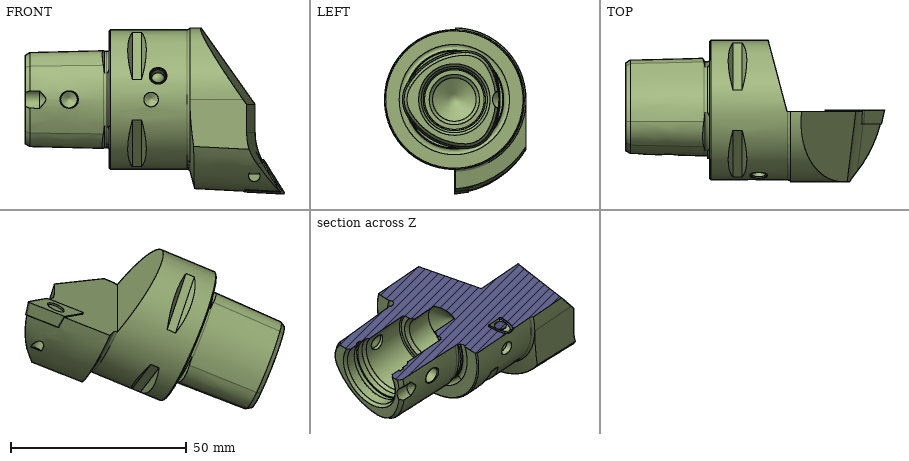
import cadquery as cq
import math


shank_length = 24.0
lobe_centre_offset = 6.5
shank_big_radius = 14.0
shank_taper = 0.025
shank_chamfer_length = 1.3
shank_chamfer_height = 0.8
lobe_end_x = -1.55

neck_radius = 13.85
neck_start_x = -1.3
neck_ramp_rate = 0.66
collar_x = -0.6
relief_start_x = -0.75
relief_radius = 15.8
flange_radius = 20.0
flange_length = 22.2
flange_chamfer = 0.4

groove_start = 6.65
groove_floor_width = 2.6
groove_floor_distance = 17.6
groove_wall_angle = 30.0
groove_count = 4

head_radius = 20.5
head_corner_x = 23.1
head_shoulder_angle = 15.0
head_flat_height = 5.9
head_face_y = -0.4
head_belly_x = 24.3
head_belly_top = (head_face_y, -25.45)
head_belly_mid = (-9.2, -23.25)
head_belly_side = (-head_radius, -13.4)
back_slope_x = 16.7
back_slope_run = 5.4
end_slope_top_x = 26.3
end_face_x = 41.75
end_face_top_z = -1.4
end_face_bottom_z = -9.4
end_curve_bottom_z = -18.3

insert_tip_x = 50.0
insert_tip_z = -27.0
insert_circle = 9.55
insert_angle = 55.0
insert_thickness = 4.0
insert_nose_radius = 0.4
clearance_angle = 7.0
edge_slope = 3.0

screw_radius = 1.6
screw_head_radius = 2.6
screw_head_gap = 0.5
screw_head_height = 1.7
screw_end_y = -9.6
screw_hole_end_y = -14.05

plug_x = 14.0
plug_tilt = 20.0
plug_radius = 2.5
plug_length = 5.9
ball_radius = 2.0
ball_depth = 3.4
sleeve_chamfer = 0.3
sleeve_top_gap = 0.15

drill_point_angle = 118.0
flange_hole_x = 12.0
flange_hole_radius = 2.1
flange_hole_depth = 1.85
shank_hole_x = -11.5
shank_hole_radius = 2.4
shank_hole_rim_y = -12.9
shank_hole_rim_radius = 2.7
shank_hole_bottom_y = 9.6
key_hole_y = -13.6
key_hole_radius = 2.75
key_hole_depth = 4.1
key_hole_point_angle = 90.0

bore_steps = [
    (0, 10.2),
    (0.9, 9.5),
    (3.7, 9.5),
    (3.7, 9.9),
    (5.2, 9.9),
    (5.2, 9.5),
    (6.95, 9.5),
    (8.1, 8.9),
    (21.8, 8.9),
    (22.2, 8.5),
]
inner_bore_radius = 7.2
inner_bore_chamfer = 0.95
inner_bore_length = 8.9

overshoot = 29.6
margin = 0.75


def tan(angle):
    return math.tan(math.radians(angle))


def sin(angle):
    return math.sin(math.radians(angle))


def cos(angle):
    return math.cos(math.radians(angle))


def revolve_about_x(outline):
    return outline.close().revolve(360, (0, 0, 0), (1, 0, 0))


def drill(radius, depth, point_angle=drill_point_angle):
    """Drill along -Z from the origin, with a conical point below its full depth."""
    point_height = radius / tan(point_angle / 2)
    outline = (
        cq.Workplane("XZ")
        .moveTo(0, overshoot)
        .lineTo(radius, overshoot)
        .lineTo(radius, -depth)
        .lineTo(0, -depth - point_height)
        .close()
    )
    return outline.revolve(360, (0, 0, 0), (0, 1, 0))


def lobed_wire(x, radius):
    """Rounded triangle of constant width 2 * radius: three lobe arcs joined by three flank arcs."""
    half_side = lobe_centre_offset * sin(60)
    lobe_radius = radius - half_side
    flank_radius = radius + half_side

    def around_lobe(lobe_angle, arc_radius, angle):
        y = lobe_centre_offset * cos(lobe_angle) + arc_radius * cos(angle)
        z = lobe_centre_offset * sin(lobe_angle) + arc_radius * sin(angle)
        return y, z

    wire = cq.Workplane("YZ", origin=(x, 0, 0)).moveTo(*around_lobe(0, lobe_radius, -30))
    for angle in (0, 120, 240):
        wire = wire.threePointArc(
            around_lobe(angle, lobe_radius, angle), around_lobe(angle, lobe_radius, angle + 30)
        )
        wire = wire.threePointArc(
            around_lobe(angle + 240, flank_radius, angle + 60),
            around_lobe(angle + 120, lobe_radius, angle + 90),
        )
    return wire.close().val()


def lobed_solid(start_x, start_radius, end_x, end_radius):
    wires = [lobed_wire(start_x, start_radius), lobed_wire(end_x, end_radius)]
    return cq.Workplane(cq.Solid.makeLoft(wires, True))


def shank():
    chamfer_x = -shank_length + shank_chamfer_length
    small_radius = shank_big_radius - shank_taper * (lobe_end_x - chamfer_x)
    chamfer = lobed_solid(-shank_length, small_radius - shank_chamfer_height, chamfer_x, small_radius)
    taper = lobed_solid(chamfer_x, small_radius, lobe_end_x, shank_big_radius)
    neck = lobed_solid(lobe_end_x, shank_big_radius, flange_chamfer, shank_big_radius)
    collar = cq.Workplane("YZ", origin=(collar_x, 0, 0)).circle(neck_radius).extrude(-collar_x)
    return chamfer.union(taper).union(neck).union(collar)


def flange():
    outline = (
        cq.Workplane("XY")
        .moveTo(0, 0)
        .lineTo(0, flange_radius - flange_chamfer)
        .lineTo(flange_chamfer, flange_radius)
        .lineTo(flange_length, flange_radius)
        .lineTo(flange_length, 0)
    )
    return revolve_about_x(outline)


def back_cut():
    """Sloping cut that leaves only the -Y half beyond the flange."""
    slope_end_x = back_slope_x + back_slope_run
    rim_x = back_slope_x - back_slope_run * (overshoot - flange_radius) / (flange_radius - head_face_y)
    return (
        cq.Workplane("XY", origin=(0, 0, -overshoot))
        .moveTo(rim_x, overshoot)
        .lineTo(slope_end_x, head_face_y)
        .lineTo(2 * overshoot, head_face_y)
        .lineTo(2 * overshoot, overshoot)
        .close()
        .extrude(2 * overshoot)
    )


def neck_relief():
    """Ring that trims the lobes to a round neck and ends in a rounded channel in the flange face."""
    height = relief_radius - neck_radius
    ramp = height * neck_ramp_rate
    channel_radius = (relief_start_x**2 + height**2) / (2 * height)
    outline = (
        cq.Workplane("XY")
        .moveTo(neck_start_x - ramp, relief_radius)
        .lineTo(neck_start_x, neck_radius)
        .lineTo(relief_start_x, neck_radius)
        .threePointArc(
            (relief_start_x + channel_radius, neck_radius + channel_radius), (0, relief_radius)
        )
    )
    return revolve_about_x(outline)


def gripper_grooves():
    """V-sided grooves cut across the flange rim."""
    height = flange_radius - groove_floor_distance + margin
    flare = height * tan(groove_wall_angle)
    floor_end = groove_start + groove_floor_width
    groove = (
        cq.Workplane("XZ")
        .moveTo(groove_start, groove_floor_distance)
        .lineTo(floor_end, groove_floor_distance)
        .lineTo(floor_end + flare, groove_floor_distance + height)
        .lineTo(groove_start - flare, groove_floor_distance + height)
        .close()
        .extrude(overshoot / 2, both=True)
    )
    pitch = 360 / groove_count
    return [groove.rotate((0, 0, 0), (1, 0, 0), pitch * (i + 0.5)) for i in range(groove_count)]


def head_section():
    """Round upper side and side flat, with a belly that slopes down along the cutting edge."""
    start_x = flange_length - margin
    end_x = insert_tip_x + margin
    upper = (
        cq.Workplane("YZ", origin=(start_x, 0, 0))
        .moveTo(0, head_radius)
        .threePointArc((-head_radius * sin(45), head_radius * cos(45)), (-head_radius, 0))
        .lineTo(-head_radius, -head_flat_height)
        .lineTo(0, -head_flat_height)
        .close()
        .extrude(end_x - start_x)
    )
    lift = (head_belly_x - start_x) * tan(edge_slope)
    wire = (
        cq.Workplane("YZ", origin=(start_x, 0, lift))
        .moveTo(head_face_y, -head_flat_height / 2)
        .lineTo(*head_belly_top)
        .threePointArc(head_belly_mid, head_belly_side)
        .lineTo(-head_radius, -head_flat_height / 2)
        .close()
        .val()
    )
    run = end_x - start_x
    belly = cq.Solid.extrudeLinear(wire, [], cq.Vector(run, 0, -run * tan(edge_slope)))
    return upper.union(cq.Workplane(belly))


def head_front_limit():
    """Round envelope with the flange blend and the conical shoulder behind the head."""
    blend_width = head_corner_x - flange_length
    blend_height = head_radius - flange_radius
    blend_radius = (blend_width**2 + blend_height**2) / (2 * blend_height)
    half_sweep = math.degrees(math.asin(blend_width / blend_radius)) / 2
    blend_middle = (
        flange_length + blend_radius * sin(half_sweep),
        flange_radius + blend_radius * (1 - cos(half_sweep)),
    )
    outer_radius = head_radius + overshoot
    outline = (
        cq.Workplane("XY")
        .moveTo(flange_length - margin, 0)
        .lineTo(flange_length - margin, flange_radius)
        .lineTo(flange_length, flange_radius)
        .threePointArc(blend_middle, (head_corner_x, head_radius))
        .lineTo(head_corner_x + overshoot * tan(head_shoulder_angle), outer_radius)
        .lineTo(2 * overshoot, outer_radius)
        .lineTo(2 * overshoot, 0)
    )
    return revolve_about_x(outline)


def head_end_limit():
    """Prism behind the end faces; its sides lean back by the clearance angle toward -Y."""
    side_angle = insert_angle + edge_slope
    curve_sweep = 90 - side_angle
    curve_radius = (end_face_bottom_z - end_curve_bottom_z) / sin(curve_sweep)
    curve_end_x = end_face_x + curve_radius * (1 - cos(curve_sweep))
    curve_middle = (
        end_face_x + curve_radius * (1 - cos(curve_sweep / 2)),
        end_face_bottom_z - curve_radius * sin(curve_sweep / 2),
    )
    bottom_z = insert_tip_z - overshoot / 4
    bottom_x = curve_end_x + (end_curve_bottom_z - bottom_z) / tan(side_angle)
    slope_rate = (end_face_x - end_slope_top_x) / (head_radius - end_face_top_z)
    top_x = end_slope_top_x - slope_rate * (overshoot - head_radius)
    wire = (
        cq.Workplane("XZ", origin=(0, head_face_y, 0))
        .moveTo(0, overshoot)
        .lineTo(top_x, overshoot)
        .lineTo(end_face_x, end_face_top_z)
        .lineTo(end_face_x, end_face_bottom_z)
        .threePointArc(curve_middle, (curve_end_x, end_curve_bottom_z))
        .lineTo(bottom_x, bottom_z)
        .lineTo(0, bottom_z)
        .close()
        .val()
    )
    lean = cq.Vector(-overshoot * tan(clearance_angle), -overshoot, 0)
    return cq.Workplane(cq.Solid.extrudeLinear(wire, [], lean))


def central_bore():
    outline = cq.Workplane("XY").moveTo(-shank_length, 0)
    for distance, radius in bore_steps:
        outline = outline.lineTo(distance - shank_length, radius)
    inner_start = bore_steps[-1][0] - shank_length
    pilot_radius = inner_bore_radius - inner_bore_chamfer
    inner_end = inner_start + inner_bore_length
    outline = (
        outline.lineTo(inner_start, inner_bore_radius)
        .lineTo(inner_start + inner_bore_chamfer, pilot_radius)
        .lineTo(inner_end, pilot_radius)
        .lineTo(inner_end + pilot_radius / tan(drill_point_angle / 2), 0)
    )
    return revolve_about_x(outline)


def flange_hole():
    hole = drill(flange_hole_radius, flange_hole_depth).rotate((0, 0, 0), (1, 0, 0), 90)
    return hole.translate((flange_hole_x, -flange_radius, 0))


def shank_hole():
    """Cross hole with a countersunk mouth."""
    hole = drill(shank_hole_radius, shank_hole_bottom_y).rotate((0, 0, 0), (1, 0, 0), 90)
    countersink = (
        cq.Workplane("XZ", origin=(0, shank_hole_rim_y, 0))
        .circle(shank_hole_rim_radius)
        .workplane(offset=shank_hole_radius - shank_hole_rim_radius)
        .circle(shank_hole_radius)
        .loft()
    )
    mouth = cq.Workplane("XZ", origin=(0, shank_hole_rim_y, 0)).circle(shank_hole_rim_radius)
    mouth = mouth.extrude(margin)
    return hole.union(countersink).union(mouth).translate((shank_hole_x, 0, 0))


def key_hole():
    """Keyway drilled along the shank at its -Y flank."""
    hole = drill(key_hole_radius, key_hole_depth, key_hole_point_angle).rotate((0, 0, 0), (0, 1, 0), -90)
    return hole.translate((-shank_length, key_hole_y, 0))


def place_plug(body):
    """Move a body built on the Z axis, with its mouth at Z = 0, into the flange rim."""
    raised = body.translate((plug_x, 0, flange_radius))
    return raised.rotate((0, 0, 0), (1, 0, 0), 90 - plug_tilt)


def plug_hole():
    return cq.Workplane("XY", origin=(0, 0, -plug_length)).circle(plug_radius).extrude(plug_length + margin)


def plug_sleeve():
    outline = (
        cq.Workplane("XZ")
        .moveTo(ball_radius, -plug_length)
        .lineTo(plug_radius, -plug_length)
        .lineTo(plug_radius, -sleeve_top_gap)
        .lineTo(ball_radius + sleeve_chamfer, -sleeve_top_gap)
        .lineTo(ball_radius, -sleeve_top_gap - sleeve_chamfer)
        .close()
    )
    return place_plug(outline.revolve(360, (0, 0, 0), (0, 1, 0)))


def plug_ball():
    return place_plug(cq.Workplane("XY").sphere(ball_radius).translate((0, 0, -ball_depth)))


def insert_centre():
    """Place (X, Z) of the middle of the insert, found from its nose."""
    bisector = 180 - edge_slope - insert_angle / 2
    distance = (insert_circle / 2 - insert_nose_radius) / sin(insert_angle / 2)
    x = insert_tip_x - insert_nose_radius + distance * cos(bisector)
    z = insert_tip_z + insert_nose_radius + distance * sin(bisector)
    return x, z


def insert_blank():
    """Rhombic plate with rounded corners, narrowing toward -Y by the clearance angle."""
    x, z = insert_centre()
    long_half = insert_circle / 2 / sin(insert_angle / 2)
    short_half = insert_circle / 2 / cos(insert_angle / 2)
    corners = [(long_half, 0), (0, short_half), (-long_half, 0), (0, -short_half)]
    plate = (
        cq.Workplane("XZ")
        .polyline(corners)
        .close()
        .extrude(insert_thickness, taper=clearance_angle)
        .edges("not(#Y)")
        .fillet(insert_nose_radius)
    )
    return plate.rotate((0, 0, 0), (0, 1, 0), edge_slope + insert_angle / 2).translate((x, 0, z))


def insert_screw():
    x, z = insert_centre()
    head_top = -screw_head_gap
    outline = (
        cq.Workplane("XY")
        .moveTo(0, head_top)
        .lineTo(screw_head_radius, head_top)
        .lineTo(screw_radius, head_top - screw_head_height)
        .lineTo(screw_radius, screw_end_y)
        .lineTo(0, screw_end_y)
        .close()
    )
    return outline.revolve(360, (0, 0, 0), (0, 1, 0)).translate((x, 0, z))


def screw_head_recess():
    x, z = insert_centre()
    return cq.Workplane("XZ").center(x, z).circle(screw_head_radius).extrude(screw_head_gap)


def screw_hole():
    x, z = insert_centre()
    return cq.Workplane("XZ").center(x, z).circle(screw_radius).extrude(-screw_hole_end_y)


def make_holder():
    head = head_section().intersect(head_front_limit()).intersect(head_end_limit())
    body = shank().union(flange()).cut(neck_relief()).cut(back_cut()).union(head)
    for groove in gripper_grooves():
        body = body.cut(groove)
    for hole in (central_bore(), flange_hole(), shank_hole(), key_hole(), place_plug(plug_hole())):
        body = body.cut(hole)
    return body.cut(insert_blank()).cut(screw_hole())


def make_insert():
    return insert_blank().cut(insert_screw()).cut(screw_head_recess())


holder = make_holder()
insert = make_insert()
screw = insert_screw()
sleeve = plug_sleeve()
ball = plug_ball()

result = cq.Compound.makeCompound([holder.val(), insert.val(), screw.val(), sleeve.val(), ball.val()])